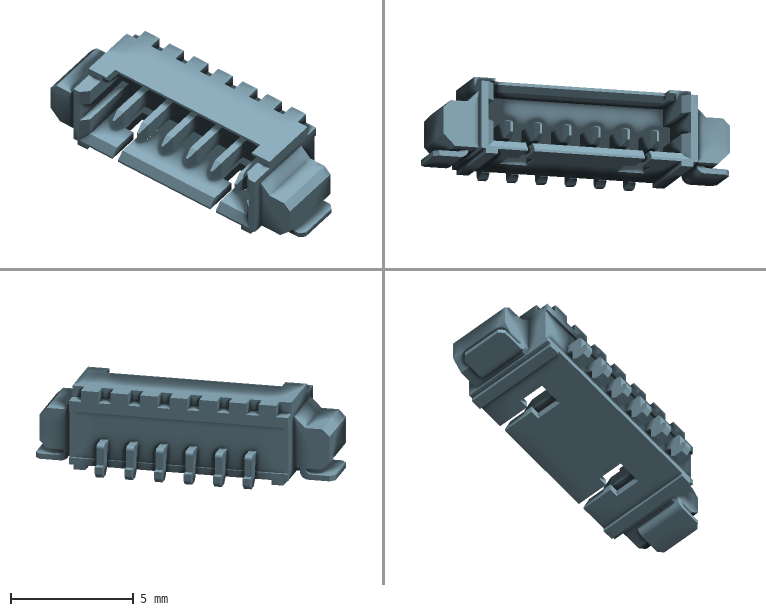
import cadquery as cq


housing_width = 9.25
housing_depth = 4.2
housing_top = 3.4
foot_height = 0.2
foot_width = 0.5
foot_inset = 0.19
ear_wall = 0.3
mouth_bevel = 0.3
side_wall = ear_wall + mouth_bevel
floor_top = 0.61
ceiling = 3.02
cavity_depth = 2.95
roof_front = 1.02
roof_lip = 0.13
roof_bevel = housing_top - roof_lip - ceiling

roof_notch_width = 7.43
roof_notch_back = 1.61
guide_slot_bottom = 1.42
guide_slot_top = 2.29
floor_slot_width = 0.29
floor_slot_depth = 1.44
floor_window_width = 1.13
floor_window_back = 2.59

back_notch_width = 0.5
back_notch_depth = 0.58
back_notch_height = 0.48
back_recess_depth = 0.1
back_recess_bottom = 0.49
back_recess_top = 2.48

ear_front = 0.42
ear_back = 3.19
ear_reach = 6.12
ear_top = 2.21
ear_bottom = 0.3
ear_top_bevel = 0.3
ear_root_bevel = 0.47
ear_low_bevel = 0.49
ear_back_bevel = 0.18

pin_count = 6
pin_row_length = 6.25
pin_pitch = pin_row_length / (pin_count - 1)
pin_width = 0.32
blade_bottom = 0.96
blade_top = 1.72
blade_shoulder = 1.2
tip_front = 0.71
tip_width = 0.1
tip_height = 0.4
blade_back = (cavity_depth + housing_depth) / 2
tail_top = 1.37
tail_thickness = 0.49
tail_back = 4.9
tail_outer_radius = 0.16
tail_inner_radius = 0.2
sole_back = 5.2
sole_top = 0.49
sole_bevel = 0.2

nail_reach = 6.32
nail_thickness = 0.23
nail_front = 1.02
nail_corner = 0.2
nail_upright = 5.1
nail_upper_radius = 0.25
nail_lower_radius = 0.35
nail_end_height = 0.76

half_width = housing_width / 2
pin_places = [(i - (pin_count - 1) / 2) * pin_pitch for i in range(pin_count)]
floor_slot_place = pin_row_length / 2 - pin_pitch / 2
floor_slot_places = [-floor_slot_place, floor_slot_place]


def block(x_range, y_range, z_range):
    """Box between pairs of coordinates."""
    size = [high - low for low, high in (x_range, y_range, z_range)]
    corner = (x_range[0], y_range[0], z_range[0])
    return cq.Workplane("XY").box(*size, centered=False).translate(corner)


def centered_block(width, y_range, z_range, x=0):
    """Box of a given width about the place x."""
    return block((x - width / 2, x + width / 2), y_range, z_range)


def prism_along_y(points, front, back):
    """Prism with an outline in X and Z, running from front to back."""
    outline = cq.Workplane("XZ").polyline(points).close()
    return outline.extrude(front - back).translate((0, front, 0))


def prism_along_x(points, width):
    """Prism with an outline in Y and Z, centred on X = 0."""
    return cq.Workplane("YZ").polyline(points).close().extrude(width / 2, both=True)


def mirrored_pair(part):
    """The part and its mirror image on the other side."""
    return part, part.mirror("YZ")


def make_shell():
    shell = centered_block(housing_width, (0, housing_depth), (foot_height, housing_top))
    foot_outside = half_width - foot_inset
    foot = block((foot_outside - foot_width, foot_outside), (0, housing_depth), (0, foot_height))
    for one_foot in mirrored_pair(foot):
        shell = shell.union(one_foot)
    return shell


def make_cavity():
    inner_width = housing_width - 2 * side_wall
    cavity = centered_block(inner_width, (0, cavity_depth), (floor_top, ceiling))
    slots = centered_block(
        inner_width + 2 * mouth_bevel, (0, cavity_depth), (guide_slot_bottom, guide_slot_top)
    )
    return cavity.union(slots)


def make_mouth_bevel():
    """Wedge that widens the mouth to both sides and downward."""
    inner = half_width - side_wall
    outer = inner + mouth_bevel
    flare = cq.Workplane("XY").polyline(
        [(-outer, 0), (outer, 0), (inner, mouth_bevel), (-inner, mouth_bevel)]
    ).close().extrude(ceiling)
    floor_bevel = prism_along_x(
        [(0, floor_top - mouth_bevel), (mouth_bevel, floor_top), (mouth_bevel, ceiling), (0, ceiling)],
        housing_width,
    )
    return flare.intersect(floor_bevel)


def make_roof_opening():
    """Step in front of the roof, the notch in it, and the bevels under both roof edges."""
    step = centered_block(housing_width, (0, roof_front), (ceiling, housing_top))
    notch = centered_block(roof_notch_width, (0, roof_notch_back), (ceiling, housing_top))
    opening = step.union(notch)
    inner_width = housing_width - 2 * side_wall
    for edge, width in ((roof_front, inner_width), (roof_notch_back, roof_notch_width)):
        wedge = [(edge, ceiling), (edge + roof_bevel, ceiling), (edge, ceiling + roof_bevel)]
        opening = opening.union(prism_along_x(wedge, width))
    return opening


def make_floor_opening(x):
    """Slot from the mouth that ends in a wider window."""
    slot = centered_block(floor_slot_width, (0, floor_slot_depth), (0, floor_top), x)
    window = centered_block(floor_window_width, (floor_slot_depth, floor_window_back), (0, floor_top), x)
    return slot.union(window)


def make_back_cuts():
    notch_y = (housing_depth - back_notch_depth, housing_depth)
    notch_z = (housing_top - back_notch_height, housing_top)
    cuts = centered_block(
        housing_width,
        (housing_depth - back_recess_depth, housing_depth),
        (back_recess_bottom, back_recess_top),
    )
    for x in pin_places:
        cuts = cuts.union(centered_block(back_notch_width, notch_y, notch_z, x))
    corner = block((half_width - back_notch_width, half_width), notch_y, notch_z)
    for one_corner in mirrored_pair(corner):
        cuts = cuts.union(one_corner)
    return cuts


def make_ear():
    """Ear on the +X side."""
    ear = prism_along_y(
        [
            (half_width, ear_bottom),
            (ear_reach - ear_low_bevel, ear_bottom),
            (ear_reach, ear_bottom + ear_low_bevel),
            (ear_reach, ear_top - ear_top_bevel),
            (ear_reach - ear_top_bevel, ear_top),
            (half_width + ear_root_bevel, ear_top),
            (half_width, ear_top + ear_root_bevel),
        ],
        ear_front,
        ear_back,
    )
    back_bevel = prism_along_x(
        [
            (ear_back - ear_back_bevel, ear_bottom),
            (ear_back, ear_bottom),
            (ear_back, ear_bottom + ear_back_bevel),
        ],
        2 * ear_reach,
    )
    return ear.cut(back_bevel)


def make_pin():
    """Pin at X = 0: a flat blade with a tapered tip and a tail bent down to the board."""
    tail_bottom = tail_top - tail_thickness
    tail_front = tail_back - tail_thickness
    body = (
        cq.Workplane("YZ")
        .moveTo(blade_shoulder, blade_bottom)
        .lineTo(blade_back, blade_bottom)
        .lineTo(blade_back, tail_bottom)
        .lineTo(tail_front - tail_inner_radius, tail_bottom)
        .radiusArc((tail_front, tail_bottom - tail_inner_radius), tail_inner_radius)
        .lineTo(tail_front, sole_bevel)
        .lineTo(tail_front + sole_bevel, 0)
        .lineTo(sole_back - sole_bevel, 0)
        .lineTo(sole_back, sole_bevel)
        .lineTo(sole_back, sole_top)
        .lineTo(tail_back, sole_top)
        .lineTo(tail_back, tail_top - tail_outer_radius)
        .radiusArc((tail_back - tail_outer_radius, tail_top), -tail_outer_radius)
        .lineTo(blade_back, tail_top)
        .lineTo(blade_back, blade_top)
        .lineTo(blade_shoulder, blade_top)
        .close()
        .extrude(pin_width / 2, both=True)
    )
    tip = (
        cq.Workplane("XZ", origin=(0, blade_shoulder, (blade_bottom + blade_top) / 2))
        .rect(pin_width, blade_top - blade_bottom)
        .workplane(offset=blade_shoulder - tip_front)
        .rect(tip_width, tip_height)
        .loft()
    )
    return body.union(tip)


def make_nail():
    """Solder nail on the +X side: a flat plate on the board, curved up into the ear."""
    upright_inside = nail_upright - nail_thickness
    nail = (
        cq.Workplane("XZ")
        .moveTo(nail_reach, 0)
        .lineTo(upright_inside + nail_lower_radius, 0)
        .radiusArc((upright_inside, nail_lower_radius), nail_lower_radius)
        .lineTo(upright_inside, nail_end_height)
        .lineTo(nail_upright, nail_end_height)
        .lineTo(nail_upright, nail_thickness + nail_upper_radius)
        .radiusArc((nail_upright + nail_upper_radius, nail_thickness), -nail_upper_radius)
        .lineTo(nail_reach, nail_thickness)
        .close()
        .extrude(nail_front - ear_back)
        .translate((0, nail_front, 0))
    )
    return nail.edges("|Z and >X").chamfer(nail_corner)


def make_housing(pins, nails):
    housing = make_shell()
    for ear in mirrored_pair(make_ear()):
        housing = housing.union(ear)
    for cutter in (make_cavity(), make_mouth_bevel(), make_roof_opening(), make_back_cuts()):
        housing = housing.cut(cutter)
    for x in floor_slot_places:
        housing = housing.cut(make_floor_opening(x))
    for inserted in (*pins, *nails):
        housing = housing.cut(inserted)
    return housing


pins = [make_pin().translate((x, 0, 0)) for x in pin_places]
nails = mirrored_pair(make_nail())
housing = make_housing(pins, nails)

result = cq.Compound.makeCompound([part.val() for part in (housing, *pins, *nails)])